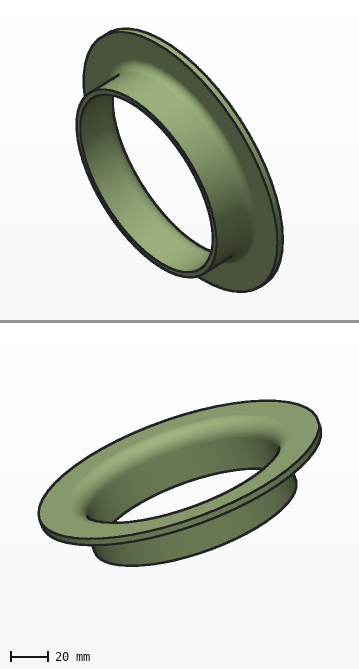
import cadquery as cq

flange_diameter = 158.0
flange_thickness = 4.0
tube_outer_diameter = 114.2
bore_diameter = 107.9
overall_length = 28.0
root_fillet_radius = 5.0
bore_mouth_radius = flange_thickness + root_fillet_radius

axis_plane = cq.Workplane("XZ")
flange = axis_plane.circle(flange_diameter / 2).extrude(flange_thickness)
tube = axis_plane.circle(tube_outer_diameter / 2).extrude(overall_length)
body = flange.union(tube)

flange_front = cq.selectors.NearestToPointSelector((0, -flange_thickness, flange_diameter / 2))
innermost_edge = cq.selectors.RadiusNthSelector(0)
body = body.faces(flange_front).edges(innermost_edge).fillet(root_fillet_radius)

bore = axis_plane.circle(bore_diameter / 2).extrude(overall_length)
body = body.cut(bore)
result = body.faces(">Y").edges(innermost_edge).fillet(bore_mouth_radius)